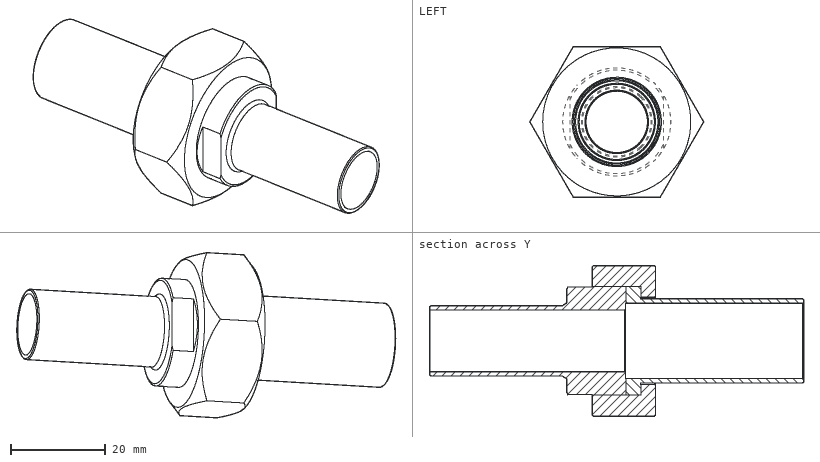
import cadquery as cq
import math

total_length = 79.5
nut_start = 31.5
nut_length = 13.5
nut_end = nut_start + nut_length
collar_end = 50.4

across_flats = 32.0
across_corners = across_flats / math.cos(math.pi / 6)
nut_face_diameter = 31.5
nut_chamfer_depth = 2.6
nut_front_bore = 18.5
nut_lip_length = 3.2

inlet_diameter = 18.0
inlet_bore = 16.0
flange_length = 3.2
flange_start = nut_start + nut_lip_length
joint = flange_start + flange_length

outlet_diameter = 15.0
outlet_bore = 13.0
collar_diameter = 23.0
collar_chamfer_length = 0.2
collar_chamfer_height = 0.5
neck_diameter = 16.2
neck_length = 0.9
collar_across_flats = 19.95
flat_start = 45.6
flat_runout = 0.4

edge_chamfer = 0.2


def revolve_profile(points):
    """Revolve (x, radius) points about the X axis."""
    return cq.Workplane("XY").polyline(points).close().revolve(360, (0, 0, 0), (1, 0, 0))


def make_nut():
    circumradius = across_corners / 2
    face_radius = nut_face_diameter / 2
    hexagon = (
        cq.Workplane("YZ", origin=(nut_start, 0, 0))
        .polygon(6, across_corners)
        .extrude(nut_length)
    )
    bevel = revolve_profile([
        (nut_start, 0),
        (nut_start, face_radius),
        (nut_start + nut_chamfer_depth, circumradius),
        (nut_end - nut_chamfer_depth, circumradius),
        (nut_end, face_radius),
        (nut_end, 0),
    ])
    stepped_bore = revolve_profile([
        (nut_start, 0),
        (nut_start, nut_front_bore / 2 + edge_chamfer),
        (nut_start + edge_chamfer, nut_front_bore / 2),
        (flange_start, nut_front_bore / 2),
        (flange_start, collar_diameter / 2),
        (nut_end, collar_diameter / 2),
        (nut_end, 0),
    ])
    return hexagon.intersect(bevel).cut(stepped_bore)


def make_inlet_tube():
    outer = inlet_diameter / 2
    inner = inlet_bore / 2
    return revolve_profile([
        (0, inner + edge_chamfer),
        (0, outer - edge_chamfer),
        (edge_chamfer, outer),
        (flange_start, outer),
        (flange_start, collar_diameter / 2),
        (joint, collar_diameter / 2),
        (joint, inner),
        (edge_chamfer, inner),
    ])


def make_collar_flat_cutter(side):
    """Wedge-ended block that cuts one wrench flat; side is -1 or 1 along Y."""
    flat_y = side * collar_across_flats / 2
    rim_y = side * collar_diameter / 2
    return (
        cq.Workplane("XY")
        .polyline([
            (flat_start, flat_y),
            (collar_end, flat_y),
            (collar_end, rim_y),
            (flat_start - flat_runout, rim_y),
        ])
        .close()
        .extrude(collar_diameter / 2, both=True)
    )


def make_outlet_tube():
    outer = outlet_diameter / 2
    inner = outlet_bore / 2
    collar_radius = collar_diameter / 2
    body = revolve_profile([
        (joint, inner + edge_chamfer),
        (joint, collar_radius),
        (collar_end - collar_chamfer_length, collar_radius),
        (collar_end, collar_radius - collar_chamfer_height),
        (collar_end, neck_diameter / 2),
        (collar_end + neck_length, outer),
        (total_length - edge_chamfer, outer),
        (total_length, outer - edge_chamfer),
        (total_length, inner),
        (joint + edge_chamfer, inner),
    ])
    for side in (-1, 1):
        body = body.cut(make_collar_flat_cutter(side))
    return body


nut = make_nut()
inlet_tube = make_inlet_tube()
outlet_tube = make_outlet_tube()

result = cq.Compound.makeCompound([nut.val(), inlet_tube.val(), outlet_tube.val()])